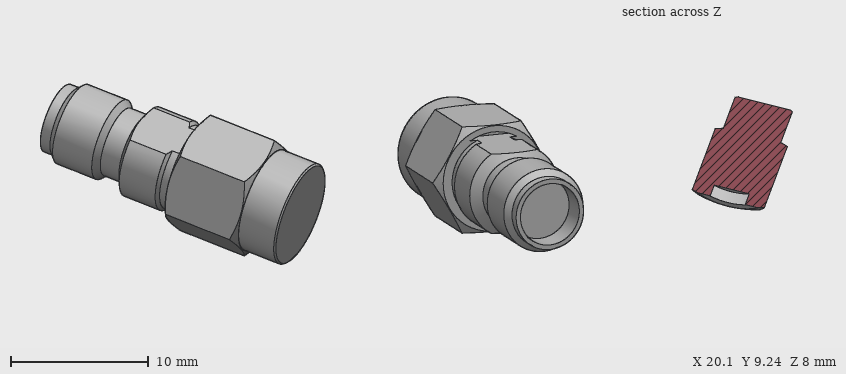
import cadquery as cq
import math


collar_start = 0.8
collar_end = 4.95
body_start = 6.5
body_cone_end = 6.95
body_end = 10.17
hex_start = 10.99
hex_end = 17.05
total_length = 20.05

neck_radius = 2.65
collar_radius = 3.1
body_radius = 3.49
groove_radius = 3.25
barrel_radius = 3.9
bore_radius = 2.3

bore_depth = 2.0
nut_seat_depth = 1.0
barrel_chamfer = 0.12

flat_half_width = 2.99
hex_across_flats = 8.0
hex_across_corners = hex_across_flats / math.cos(math.radians(30))
hex_face_radius = 3.95
hex_chamfer_angle = 30.0


def turned(profile):
    """Revolve a closed outline of (x, radius) points about the X axis."""
    return cq.Workplane("XY").polyline(profile).close().revolve(360, (0, 0, 0), (1, 0, 0))


def front_connector():
    """Thin tip, collar with 45 degree shoulders, and neck."""
    shoulder = collar_radius - neck_radius
    return turned([
        (0, 0),
        (0, neck_radius),
        (collar_start, neck_radius),
        (collar_start + shoulder, collar_radius),
        (collar_end - shoulder, collar_radius),
        (collar_end, neck_radius),
        (body_start, neck_radius),
        (body_start, 0),
    ])


def flatted_body():
    """Grooved body with wrench flats at top and bottom, seated at full radius inside the nut."""
    seat_end = hex_start + nut_seat_depth
    rear_chamfer = body_radius - groove_radius
    blank = turned([
        (body_start, 0),
        (body_start, neck_radius),
        (body_cone_end, body_radius),
        (body_end - rear_chamfer, body_radius),
        (body_end, groove_radius),
        (hex_start, groove_radius),
        (hex_start, body_radius),
        (seat_end, body_radius),
        (seat_end, 0),
    ])
    between_flats = cq.Workplane("XY").box(
        seat_end - body_start, 2 * body_radius, 2 * flat_half_width, centered=(False, True, True)
    ).translate((body_start, 0, 0))
    return blank.intersect(between_flats)


def hex_nut():
    """Hexagonal prism with corners along Y, both ends coned, and a round seat for the body."""
    prism = (
        cq.Workplane("YZ")
        .workplane(offset=hex_start)
        .polygon(6, hex_across_corners)
        .extrude(hex_end - hex_start)
    )
    corner_radius = hex_across_corners / 2
    chamfer_length = (corner_radius - hex_face_radius) * math.tan(math.radians(hex_chamfer_angle))
    envelope = turned([
        (hex_start, 0),
        (hex_start, hex_face_radius),
        (hex_start + chamfer_length, corner_radius),
        (hex_end - chamfer_length, corner_radius),
        (hex_end, hex_face_radius),
        (hex_end, 0),
    ])
    seat = (
        cq.Workplane("YZ")
        .workplane(offset=hex_start)
        .circle(body_radius)
        .extrude(nut_seat_depth)
    )
    return prism.intersect(envelope).cut(seat)


def rear_barrel():
    """Plain cylinder behind the nut with a small chamfer at its end."""
    return (
        cq.Workplane("YZ")
        .workplane(offset=hex_end)
        .circle(barrel_radius)
        .extrude(total_length - hex_end)
        .faces(">X")
        .chamfer(barrel_chamfer)
    )


def front_bore():
    """Blind flat-bottomed bore in the front tip."""
    return cq.Workplane("YZ").circle(bore_radius).extrude(bore_depth)


result = (
    front_connector()
    .union(flatted_body())
    .union(hex_nut())
    .union(rear_barrel())
    .cut(front_bore())
)